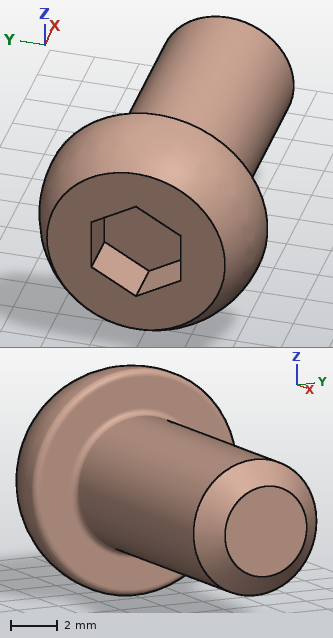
import cadquery as cq
import math

total_length = 15.5
head_diameter = 10.0
head_height = 3.5
face_diameter = 8.0
dome_length = 2.99
rim_round = 0.31
shank_diameter = 6.0
neck_fillet = 0.3
tip_chamfer = 1.0
socket_width = 4.0
socket_depth = 2.08

head_radius = head_diameter / 2
face_radius = face_diameter / 2
shank_radius = shank_diameter / 2


def dome_midpoint():
    """Point halfway along the dome arc, which meets the rim tangentially."""
    drop = head_radius - face_radius
    dome_radius = (dome_length**2 + drop**2) / (2 * drop)
    half_angle = math.asin(dome_length / dome_radius) / 2
    x = dome_length - dome_radius * math.sin(half_angle)
    radius = head_radius - dome_radius * (1 - math.cos(half_angle))
    return x, radius


def make_body():
    """Revolve the half profile of head and shank about the X axis."""
    diagonal = math.sqrt(0.5)
    rim_center = (head_height - rim_round, head_radius - rim_round)
    neck_center = (head_height + neck_fillet, shank_radius + neck_fillet)
    profile = (
        cq.Workplane("XY")
        .lineTo(0, face_radius)
        .threePointArc(dome_midpoint(), (dome_length, head_radius))
        .lineTo(rim_center[0], head_radius)
        .threePointArc(
            (rim_center[0] + rim_round * diagonal, rim_center[1] + rim_round * diagonal),
            (head_height, rim_center[1]),
        )
        .lineTo(head_height, neck_center[1])
        .threePointArc(
            (neck_center[0] - neck_fillet * diagonal, neck_center[1] - neck_fillet * diagonal),
            (neck_center[0], shank_radius),
        )
        .lineTo(total_length - tip_chamfer, shank_radius)
        .lineTo(total_length, shank_radius - tip_chamfer)
        .lineTo(total_length, 0)
        .close()
    )
    return profile.revolve(360, (0, 0, 0), (1, 0, 0))


def make_socket():
    """Hexagonal drive socket with corners pointing along +Z and -Z."""
    corner_diameter = socket_width / math.cos(math.pi / 6)
    return (
        cq.Workplane("YZ")
        .transformed(rotate=(0, 0, 90))
        .polygon(6, corner_diameter)
        .extrude(socket_depth)
    )


result = make_body().cut(make_socket())